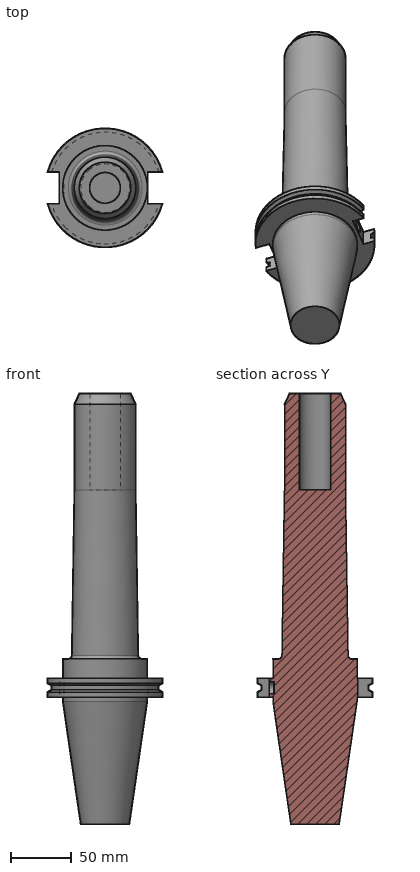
import cadquery as cq
import math


gauge_radius = 69.85 / 2
taper_length = 101.6
taper_slope = 7 / 48
taper_end_radius = gauge_radius - taper_length * taper_slope

flange_radius = 98.425 / 2
flange_bottom = 3.175
flange_top = 19.05
groove_center = (flange_bottom + flange_top) / 2
groove_floor_radius = 46.2
groove_floor_width = 3.7
groove_half_angle = 30
groove_flare = (flange_radius - groove_floor_radius) * math.tan(math.radians(groove_half_angle))
groove_floor_bottom = groove_center - groove_floor_width / 2
groove_floor_top = groove_center + groove_floor_width / 2

collar_radius = gauge_radius
collar_top = 35.0
nose_length = 254.0
nose_radius = 25.4
nose_base_radius = 27.5
nose_fillet = 3.0
nose_straight_length = 79.4
nose_taper_top = nose_length - nose_straight_length
tip_chamfer_length = 9.0
tip_chamfer_angle = 25
tip_radius = nose_radius - tip_chamfer_length * math.tan(math.radians(tip_chamfer_angle))

bore_diameter = 25.4
bore_depth = nose_straight_length

slot_width = 25.91
slot_floor_left = 37.85
slot_floor_right = 35.3

slot_hole_diameter = 9.5
slot_hole_depth = 4.0


def make_body():
    """Revolve the half profile, from the small taper end up to the nose tip."""
    profile = (
        cq.Workplane("XZ")
        .moveTo(0, -taper_length)
        .lineTo(taper_end_radius, -taper_length)
        .lineTo(gauge_radius, 0)
        .lineTo(gauge_radius, flange_bottom)
        .lineTo(flange_radius, flange_bottom)
        .lineTo(flange_radius, groove_floor_bottom - groove_flare)
        .lineTo(groove_floor_radius, groove_floor_bottom)
        .lineTo(groove_floor_radius, groove_floor_top)
        .lineTo(flange_radius, groove_floor_top + groove_flare)
        .lineTo(flange_radius, flange_top)
        .lineTo(collar_radius, flange_top)
        .lineTo(collar_radius, collar_top)
        .lineTo(nose_base_radius + nose_fillet, collar_top)
        .radiusArc((nose_base_radius, collar_top + nose_fillet), nose_fillet)
        .lineTo(nose_radius, nose_taper_top)
        .lineTo(nose_radius, nose_length - tip_chamfer_length)
        .lineTo(tip_radius, nose_length)
        .lineTo(0, nose_length)
        .close()
    )
    return profile.revolve(360, (0, 0, 0), (0, 1, 0))


def make_bore():
    """Blind tool bore, open at the nose tip."""
    return (
        cq.Workplane("XY")
        .workplane(offset=nose_length - bore_depth)
        .circle(bore_diameter / 2)
        .extrude(bore_depth)
    )


def make_slot(side, floor_distance):
    """Drive slot through the flange; side is -1 for -X and +1 for +X."""
    return (
        cq.Workplane("XY")
        .workplane(offset=flange_bottom)
        .center(side * (floor_distance + flange_radius) / 2, 0)
        .rect(flange_radius - floor_distance, slot_width)
        .extrude(flange_top - flange_bottom)
    )


def make_slot_hole():
    """Blind round hole running in +X from the floor of the left slot."""
    return (
        cq.Workplane("YZ")
        .workplane(offset=-slot_floor_left)
        .center(0, groove_center)
        .circle(slot_hole_diameter / 2)
        .extrude(slot_hole_depth)
    )


result = (
    make_body()
    .cut(make_bore())
    .cut(make_slot(-1, slot_floor_left))
    .cut(make_slot(1, slot_floor_right))
    .cut(make_slot_hole())
)